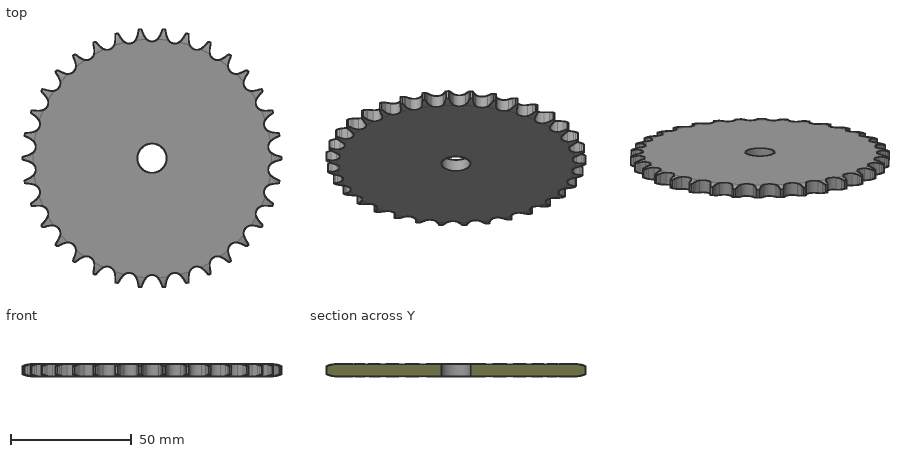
import cadquery as cq
import math

tooth_count = 34
tip_radius = 53.6
pitch_radius = 51.6
thickness = 5.3
bore_diameter = 12.0

flat_face_radius = 49.4
side_round_radius = 10.2

seat_radius = 3.2
flank_radius = 8.3
seat_angle = math.radians(55 - 60 / tooth_count)
flank_sweep = math.radians(18 - 56 / tooth_count)
straight_length = 0.9
topping_radius = 5.2
topping_sweep = math.radians(25)

half_thickness = thickness / 2
angular_pitch = 360 / tooth_count


def make_blank():
    """Revolved disc with bore and with rounded sides near the tip circle."""
    bore_radius = bore_diameter / 2
    round_width = tip_radius - flat_face_radius
    round_sweep = math.asin(round_width / side_round_radius)

    def round_point(angle):
        radius = flat_face_radius + side_round_radius * math.sin(angle)
        height = half_thickness - side_round_radius * (1 - math.cos(angle))
        return radius, height

    mid_radius, mid_height = round_point(round_sweep / 2)
    end_radius, end_height = round_point(round_sweep)
    return (
        cq.Workplane("XZ")
        .moveTo(bore_radius, -half_thickness)
        .lineTo(flat_face_radius, -half_thickness)
        .threePointArc((mid_radius, -mid_height), (end_radius, -end_height))
        .lineTo(end_radius, end_height)
        .threePointArc((mid_radius, mid_height), (flat_face_radius, half_thickness))
        .lineTo(bore_radius, half_thickness)
        .close()
        .revolve(360, (0, 0, 0), (0, 1, 0))
    )


def polar_offset(start, length, angle):
    """Point at a distance from start; the angle is measured from -Y toward +X."""
    return start[0] + length * math.sin(angle), start[1] - length * math.cos(angle)


def mirrored(point):
    return -point[0], point[1]


def make_gap():
    """Cutter for the gap centred on +Y: roller seat, then on each side a
    concave flank arc, a short straight and a convex topping arc, all tangent."""
    roller_centre = (0, pitch_radius)
    root = polar_offset(roller_centre, seat_radius, 0)
    seat_end = polar_offset(roller_centre, seat_radius, seat_angle)

    flank_end_angle = seat_angle + flank_sweep
    flank_centre = polar_offset(seat_end, -flank_radius, seat_angle)
    flank_mid = polar_offset(flank_centre, flank_radius, seat_angle + flank_sweep / 2)
    flank_end = polar_offset(flank_centre, flank_radius, flank_end_angle)

    straight_end = polar_offset(flank_end, straight_length, flank_end_angle + math.pi / 2)

    topping_centre = polar_offset(straight_end, topping_radius, flank_end_angle)
    topping_mid = polar_offset(topping_centre, -topping_radius, flank_end_angle - topping_sweep / 2)
    topping_end = polar_offset(topping_centre, -topping_radius, flank_end_angle - topping_sweep)

    return (
        cq.Workplane("XY", origin=(0, 0, -half_thickness))
        .moveTo(*root)
        .threePointArc(polar_offset(roller_centre, seat_radius, seat_angle / 2), seat_end)
        .threePointArc(flank_mid, flank_end)
        .lineTo(*straight_end)
        .threePointArc(topping_mid, topping_end)
        .lineTo(*mirrored(topping_end))
        .threePointArc(mirrored(topping_mid), mirrored(straight_end))
        .lineTo(*mirrored(flank_end))
        .threePointArc(mirrored(flank_mid), mirrored(seat_end))
        .threePointArc(polar_offset(roller_centre, seat_radius, -seat_angle / 2), root)
        .close()
        .extrude(thickness)
    )


result = make_blank()
gap = make_gap()
for index in range(tooth_count):
    gap_angle = (index + 0.5) * angular_pitch
    result = result.cut(gap.rotate((0, 0, 0), (0, 0, 1), gap_angle - 90))